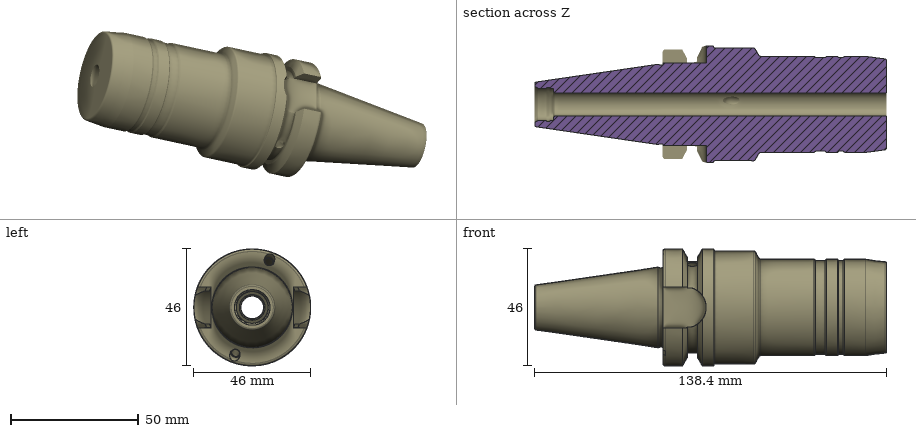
import cadquery as cq
import math

total_length = 138.4
taper_length = 48.4
gauge_diameter = 31.75
taper_ratio = 7 / 24
small_end_diameter = gauge_diameter - taper_length * taper_ratio
small_rim_fillet = 0.6
relief_diameter = 31.2
relief_bevel = 0.9
relief_fillet = 0.4

flange_diameter = 46.0
flange_start = taper_length + 2.0
flange_end = flange_start + 20.0
flange_edge_fillet = 1.0
groove_center = taper_length + 13.6
groove_floor_diameter = 36.0
groove_floor_width = 4.0
groove_flank_bottom_diameter = 39.3
groove_flank_angle = 60.0

collar_diameter = 44.5
collar_end = 86.5
collar_edge_fillet = 0.8
shoulder_angle = 60.0
shoulder_fillet = 0.8
flange_rear_round = 0.2
flange_rear_fillet = 0.5
body_diameter = 38.0
ring_diameter = 37.0
narrow_bevel = 0.5
wide_bevel = 0.7
ring_grooves = [
    (109.8, 114.7, wide_bevel, narrow_bevel),
    (119.0, 121.9, narrow_bevel, wide_bevel),
]
nose_start = 130.0
nose_diameter = 35.8
nose_edge_fillet = 0.8

slot_width = 16.0
slot_floor_offset = 16.3
slot_end = flange_start + 17.0

bore_mouth_diameter = 14.0
bore_mouth_angle = 30.0
bore_diameter = 12.5
bore_depth = 7.3
bore_groove_diameter = 13.1
bore_groove_start = 4.8
bore_groove_width = 1.1
through_diameter = 8.92
through_mouth_diameter = 10.11

passage_roll = 20.0
passage_tilt = 30.0
passage_entry_radius = 20.0
passage_diameter = 3.24
passage_mouth_diameter = 4.0
passage_mouth_depth = 2.0
drill_overrun = 2.0
cross_hole_diameter = 4.0


def round_rim(body, position, radius, fillet):
    """Fillet the circular edge of the given radius that lies at X = position."""
    tolerance = 0.01
    low_corner = (position - tolerance, -radius - tolerance, -radius - tolerance)
    high_corner = (position + tolerance, radius + tolerance, radius + tolerance)
    return body.edges(cq.selectors.BoxSelector(low_corner, high_corner, boundingbox=True)).fillet(fillet)


def make_body():
    """Revolve the outer profile of the holder about the X axis."""
    flange_radius = flange_diameter / 2
    relief_radius = relief_diameter / 2
    floor_radius = groove_floor_diameter / 2
    flank_bottom_radius = groove_flank_bottom_diameter / 2
    collar_radius = collar_diameter / 2
    body_radius = body_diameter / 2
    ring_radius = ring_diameter / 2

    diagonal = math.sqrt(0.5)
    floor_start = groove_center - groove_floor_width / 2
    floor_end = groove_center + groove_floor_width / 2
    flank_length = (flange_radius - flank_bottom_radius) / math.tan(math.radians(groove_flank_angle))
    shoulder_length = (collar_radius - body_radius) / math.tan(math.radians(shoulder_angle))

    profile = (
        cq.Workplane("XY")
        .moveTo(0, 0)
        .lineTo(0, small_end_diameter / 2)
        .lineTo(taper_length, gauge_diameter / 2)
        .lineTo(taper_length + relief_bevel, relief_radius)
        .lineTo(flange_start - relief_fillet, relief_radius)
        .threePointArc(
            (
                flange_start - relief_fillet * (1 - diagonal),
                relief_radius + relief_fillet * (1 - diagonal),
            ),
            (flange_start, relief_radius + relief_fillet),
        )
        .lineTo(flange_start, flange_radius - flange_edge_fillet)
        .threePointArc(
            (
                flange_start + flange_edge_fillet * (1 - diagonal),
                flange_radius - flange_edge_fillet * (1 - diagonal),
            ),
            (flange_start + flange_edge_fillet, flange_radius),
        )
        .lineTo(floor_start - flank_length, flange_radius)
        .lineTo(floor_start, flank_bottom_radius)
        .lineTo(floor_start, floor_radius)
        .lineTo(floor_end, floor_radius)
        .lineTo(floor_end, flank_bottom_radius)
        .lineTo(floor_end + flank_length, flange_radius)
        .lineTo(flange_end - flange_rear_round, flange_radius)
        .threePointArc(
            (
                flange_end - flange_rear_round * (1 - diagonal),
                flange_radius - flange_rear_round * (1 - diagonal),
            ),
            (flange_end, flange_radius - flange_rear_round),
        )
        .lineTo(flange_end, collar_radius + flange_rear_fillet)
        .threePointArc(
            (
                flange_end + flange_rear_fillet * (1 - diagonal),
                collar_radius + flange_rear_fillet * (1 - diagonal),
            ),
            (flange_end + flange_rear_fillet, collar_radius),
        )
        .lineTo(collar_end, collar_radius)
        .lineTo(collar_end + shoulder_length, body_radius)
    )
    for ring_start, ring_end, first_bevel, last_bevel in ring_grooves:
        profile = (
            profile.lineTo(ring_start, body_radius)
            .lineTo(ring_start + first_bevel, ring_radius)
            .lineTo(ring_end - last_bevel, ring_radius)
            .lineTo(ring_end, body_radius)
        )
    profile = (
        profile.lineTo(nose_start, body_radius)
        .lineTo(total_length, nose_diameter / 2)
        .lineTo(total_length, 0)
        .close()
    )
    body = profile.revolve(360, (0, 0, 0), (1, 0, 0))
    body = round_rim(body, 0, small_end_diameter / 2, small_rim_fillet)
    body = round_rim(body, collar_end, collar_radius, collar_edge_fillet)
    body = round_rim(body, collar_end + shoulder_length, body_radius, shoulder_fillet)
    return round_rim(body, total_length, nose_diameter / 2, nose_edge_fillet)


def make_bore():
    """Revolve the stepped central bore, with its ring groove and bevelled edges."""
    mouth_radius = bore_mouth_diameter / 2
    bore_radius = bore_diameter / 2
    bore_groove_radius = bore_groove_diameter / 2
    bore_groove_end = bore_groove_start + bore_groove_width
    mouth_length = (mouth_radius - bore_radius) / math.tan(math.radians(bore_mouth_angle))
    through_radius = through_diameter / 2
    through_mouth_radius = through_mouth_diameter / 2
    return (
        cq.Workplane("XY")
        .moveTo(0, 0)
        .lineTo(0, mouth_radius)
        .lineTo(mouth_length, bore_radius)
        .lineTo(bore_groove_start, bore_radius)
        .lineTo(bore_groove_start, bore_groove_radius)
        .lineTo(bore_groove_end, bore_groove_radius)
        .lineTo(bore_groove_end, bore_radius)
        .lineTo(bore_depth, bore_radius)
        .lineTo(bore_depth, through_mouth_radius)
        .lineTo(bore_depth + through_mouth_radius - through_radius, through_radius)
        .lineTo(total_length, through_radius)
        .lineTo(total_length, 0)
        .close()
        .revolve(360, (0, 0, 0), (1, 0, 0))
    )


def make_drive_slot():
    """Round-ended drive slot on the -Y side, open toward the taper."""
    round_center = slot_end - slot_width / 2
    slot_depth = flange_diameter / 2 - slot_floor_offset
    straight_length = round_center - flange_start
    straight = (
        cq.Workplane("XY")
        .box(straight_length, slot_depth, slot_width, centered=(False, False, True))
        .translate((flange_start, -flange_diameter / 2, 0))
    )
    round_end = (
        cq.Workplane("XZ", origin=(round_center, -slot_floor_offset, 0))
        .circle(slot_width / 2)
        .extrude(slot_depth)
    )
    return straight.union(round_end)


def make_passage():
    """Counterbored inclined passage from the flange face to the bore, with its cross hole."""
    tilt = math.radians(passage_tilt)
    direction = cq.Vector(math.cos(tilt), 0, -math.sin(tilt))
    entry = cq.Vector(flange_start, 0, passage_entry_radius)
    start = entry - direction * drill_overrun
    length = drill_overrun + passage_entry_radius / math.sin(tilt)
    drilling = cq.Solid.makeCylinder(passage_diameter / 2, length, start, direction)
    mouth = cq.Solid.makeCylinder(
        passage_mouth_diameter / 2, drill_overrun + passage_mouth_depth, start, direction
    )
    cross_bottom = passage_entry_radius - (groove_center - flange_start) * math.tan(tilt)
    cross_hole = cq.Solid.makeCylinder(
        cross_hole_diameter / 2,
        flange_diameter / 2 - cross_bottom,
        cq.Vector(groove_center, 0, cross_bottom),
        cq.Vector(0, 0, 1),
    )
    passage = cq.Workplane(drilling).union(cq.Workplane(mouth)).union(cq.Workplane(cross_hole))
    return passage.rotate((0, 0, 0), (1, 0, 0), passage_roll)


result = make_body().cut(make_bore())
for half_turn in (0, 180):
    for tool in (make_drive_slot(), make_passage()):
        result = result.cut(tool.rotate((0, 0, 0), (1, 0, 0), half_turn))